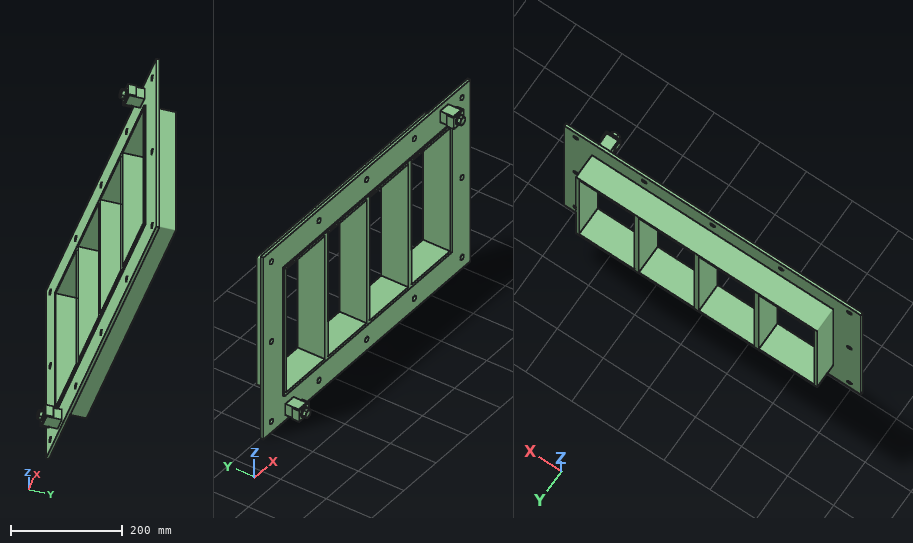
import cadquery as cq
import math

OVERALL_DEPTH = 98.0

PLATE_WIDTH = 644.0
PLATE_HEIGHT = 410.0
PLATE_THICKNESS = 6.0
HOLE_DIAMETER = 10.0
HOLE_INSET = 25.0
HOLES_PER_ROW = 5

CELL_COUNT = 4
CELL_WIDTH = 120.0
CELL_HEIGHT = 277.5
DIVIDER_THICKNESS = 10.0
SIDE_WALL = 7.0
END_WALL = 6.0
FRAME_DEPTH = 60.0
FRAME_LIP = 2.95
FRAME_CORNER_RADIUS = 2.0

CLAMP_X = 241.0
POST_SIZE = 25.0
CLIP_THICKNESS = 3.1
CLIP_REACH = 15.5
WASHER_DIAMETER = 20.0
WASHER_THICKNESS = 2.0
HEAD_ACROSS_FLATS = 15.5
HEAD_FACE_DIAMETER = 15.0
HEAD_THICKNESS = 7.0
HEAD_CHAMFER_ANGLE = 30.0
HEAD_SIDES = 6

PLATE_FRONT_Y = 0.0
FRAME_FRONT_Y = PLATE_FRONT_Y - FRAME_LIP
HEAD_FRONT_Y = FRAME_FRONT_Y + FRAME_DEPTH - OVERALL_DEPTH
WASHER_FRONT_Y = HEAD_FRONT_Y + HEAD_THICKNESS
CLIP_FRONT_Y = WASHER_FRONT_Y + WASHER_THICKNESS
POST_FRONT_Y = CLIP_FRONT_Y + CLIP_THICKNESS

HOLE_X = PLATE_WIDTH / 2 - HOLE_INSET
HOLE_Z = PLATE_HEIGHT / 2 - HOLE_INSET
HOLE_PITCH = 2 * HOLE_X / (HOLES_PER_ROW - 1)
CELL_PITCH = CELL_WIDTH + DIVIDER_THICKNESS
CELLS_SPAN = CELL_COUNT * CELL_WIDTH + (CELL_COUNT - 1) * DIVIDER_THICKNESS
FRAME_WIDTH = CELLS_SPAN + 2 * SIDE_WALL
FRAME_HEIGHT = CELL_HEIGHT + 2 * END_WALL
CLIP_WIDTH = POST_SIZE + 2 * CLIP_THICKNESS
HEAD_ACROSS_CORNERS = HEAD_ACROSS_FLATS / math.cos(math.pi / HEAD_SIDES)


def plane_at(y, x=0.0, z=0.0):
    """XZ work plane at the given point; it extrudes toward +Y; local X and Y run along -X and +Z."""
    return cq.Workplane(cq.Plane(origin=(x, y, z), xDir=(-1, 0, 0), normal=(0, 1, 0)))


def make_flanged_frame():
    """Flange plate and cell frame in one piece."""
    plate = plane_at(PLATE_FRONT_Y).rect(PLATE_WIDTH, PLATE_HEIGHT).extrude(PLATE_THICKNESS)
    duct = (
        plane_at(FRAME_FRONT_Y)
        .rect(FRAME_WIDTH, FRAME_HEIGHT)
        .extrude(FRAME_DEPTH)
        .edges("|Y")
        .fillet(FRAME_CORNER_RADIUS)
    )
    cells = (
        plane_at(FRAME_FRONT_Y)
        .rarray(CELL_PITCH, 6.5, CELL_COUNT, 1)
        .rect(CELL_WIDTH, CELL_HEIGHT)
        .extrude(FRAME_DEPTH)
    )
    row_x = [-HOLE_X + index * HOLE_PITCH for index in range(HOLES_PER_ROW)]
    row_positions = [(x, z) for x in row_x for z in (-HOLE_Z, HOLE_Z)]
    end_positions = [(-HOLE_X, 0), (HOLE_X, 0)]
    holes = (
        plane_at(PLATE_FRONT_Y)
        .pushPoints(row_positions + end_positions)
        .circle(HOLE_DIAMETER / 2)
        .extrude(PLATE_THICKNESS)
    )
    return plate.union(duct).cut(cells).cut(holes)


def make_post(x, z):
    """Square post standing on the front of the plate."""
    return plane_at(POST_FRONT_Y, x, z).rect(POST_SIZE, POST_SIZE).extrude(PLATE_FRONT_Y - POST_FRONT_Y)


def make_clip(x, z):
    """U-shaped clip: a web over the end of the post and a leg along each X side."""
    outside = plane_at(CLIP_FRONT_Y, x, z).rect(CLIP_WIDTH, POST_SIZE).extrude(CLIP_REACH)
    inside = plane_at(POST_FRONT_Y, x, z).rect(POST_SIZE, POST_SIZE).extrude(CLIP_REACH)
    return outside.cut(inside)


def make_washer(x, z):
    """Round washer on the clip web."""
    return plane_at(WASHER_FRONT_Y, x, z).circle(WASHER_DIAMETER / 2).extrude(WASHER_THICKNESS)


def make_bolt_head(x, z):
    """Hexagonal head, flats at top and bottom, with its corners turned off by a cone."""
    hexagon = plane_at(HEAD_FRONT_Y, x, z).polygon(HEAD_SIDES, HEAD_ACROSS_CORNERS).extrude(HEAD_THICKNESS)
    back_radius = HEAD_FACE_DIAMETER / 2 + HEAD_THICKNESS / math.tan(math.radians(HEAD_CHAMFER_ANGLE))
    cone = cq.Workplane(
        cq.Solid.makeCone(
            HEAD_FACE_DIAMETER / 2,
            back_radius,
            HEAD_THICKNESS,
            pnt=cq.Vector(x, HEAD_FRONT_Y, z),
            dir=cq.Vector(0, 1, 0),
        )
    )
    return hexagon.intersect(cone)


flanged_frame = make_flanged_frame()
clamp_bodies = []
for side in (-1, 1):
    for make_body in (make_post, make_clip, make_washer, make_bolt_head):
        clamp_bodies.append(make_body(side * CLAMP_X, side * HOLE_Z).val())

result = cq.Compound.makeCompound([flanged_frame.val(), *clamp_bodies])